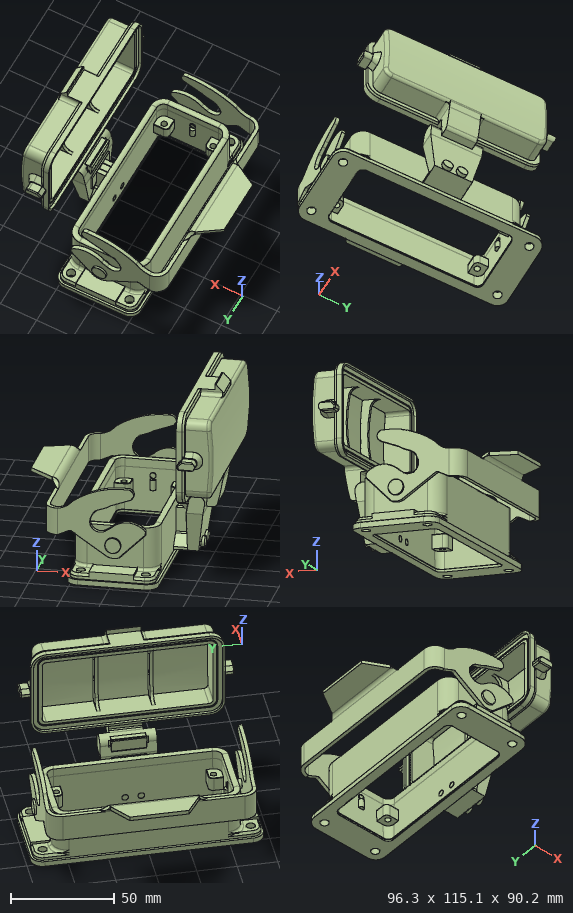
import cadquery as cq
import math


flange_x, flange_y, flange_z = 45.0, 115.1, 2.9
flange_radius = 6.0
tier_x, tier_y = 42.5, 112.8
tier_radius = 4.8
pad_top = 5.8
pad_edge_drop, pad_edge_inset = 1.4, 0.9
block_x, block_top = 22.0, 7.0
mount_x, mount_y, mount_diameter = 16.1, 51.4, 4.4

body_y, body_top = 93.0, 28.7
body_radius = 7.2
wall = 3.6
rim_wall, rim_bottom = 3.3, 23.7
crown_rise = 0.6
ledge_wall, ledge_top = 4.0, 1.4
foot_fillet = 1.6

screw_x, screw_y = 13.5, 38.8
screw_diameter, screw_mouth = 3.0, 3.5
boss_bottom, boss_top = 10.4, 17.6
boss_reach_x, boss_reach_y, boss_round = 3.5, 2.8, 2.4
key_diameter, key_bottom, key_top = 3.0, 12.7, 18.0
rivet_y, rivet_z = 4.0, 6.6
rivet_shank, rivet_mark_depth = 3.2, 0.2

sheet = 2.1
lever_half_y = 52.0
strap_x = -34.5
strap_bottom, strap_top = 23.2, 37.1
strap_radius = 7.0
arm_start = strap_x + strap_radius
tab_tip_x = -48.44
tab_bend_radius = 4.1
tab_slope = 5.4
tab_root_half, tab_mid_half, tab_tip_half = 27.0, 21.9, 14.6
tab_taper_x = -36.4

pivot_z = 20.0
pivot_diameter, pivot_head, pivot_head_y = 4.8, 7.8, 53.1
pivot_end_proud = 0.3
pivot_end_diameter = 3.0

link_x = 28.2
plate_bottom, bracket_bottom = 3.7, 5.2
bracket_half, root_half, tower_half = 10.4, 5.5, 4.3
root_bottom, root_top, tower_top = 10.4, 10.9, 23.3
tower_groove_half, tower_groove_depth = 1.8, 0.5
barrel_x, barrel_z, barrel_radius = 33.4, 30.0, 4.1
link_half, link_knee_z = 14.2, 24.5
knuckle_gap_half = 8.7
link_foot_x, link_knee_x = 33.7, 36.6
lip_x, lip_top, lip_bottom = 27.4, 33.7, 27.0
lip_seam_x, lip_seam = 28.5, 0.5
notch_back_x, notch_width, notch_bottom = 30.2, 1.2, 29.5
front_pad_bottom, front_pad_top = 14.0, 23.7
rivet_head, rivet_head_x = 5.5, 35.8

cover_x, cover_z = 30.3, 64.2
cover_flange_y, cover_flange_h, cover_flange_radius = 96.0, 46.8, 7.6
cover_flange_back, cover_edge_x = 34.4, 33.2
cover_edge_drop = 0.4
cover_inset = 3.1
cover_back_x = 47.82
cover_back_radius = 137.0
cover_back_round = 1.8
lip_width, lip_depth = 1.25, 1.5
seal_inset, seal_width, seal_depth = 3.5, 0.4, 0.5
cavity_inset, cavity_radius, cover_wall = 5.8, 2.0, 2.0
rib_y, rib_thickness, rib_height, rib_flare = 13.6, 1.7, 3.9, 4.8
tongue_half = 8.5
latch_x, latch_crest, latch_top = 41.3, 0.6, 90.19
latch_end_x, latch_end_z = 45.8, 86.2
pad_fillet = 2.0
tongue_front_x, tongue_bottom, tongue_top = 36.9, 26.7, 33.9

stud_y, stud_end_chamfer = 53.0, 0.6
stud_left, stud_right = 31.8, 40.5
stud_low, stud_mid, stud_high = 61.6, 64.2, 66.2
collar_radius, collar_x, collar_top, collar_taper = 4.5, 38.4, 48.2, 32.0


def box(x0, x1, y0, y1, z0, z1):
    """Axis-aligned block between two corners."""
    return cq.Workplane("XY").box(x1 - x0, y1 - y0, z1 - z0, centered=False).translate((x0, y0, z0))


def rounded_block(x, y, z0, z1, radius):
    """Centred block with rounded vertical corners."""
    return box(-x / 2, x / 2, -y / 2, y / 2, z0, z1).edges("|Z").fillet(radius)


def cover_block(inset, x0, x1, radius):
    """Rounded block of the cover outline, shrunk by inset, between two depths."""
    half_y = cover_flange_y / 2 - inset
    half_z = cover_flange_h / 2 - inset
    block = box(x0, x1, -half_y, half_y, cover_z - half_z, cover_z + half_z)
    return block.edges("|X").fillet(radius)


def extrude_y(outline, y0, y1):
    """Extrude an XZ outline between two Y positions."""
    return outline.extrude(y1 - y0).translate((0, y1, 0))


def rod_y(x, z, diameter, y0, y1):
    """Round rod along Y."""
    return extrude_y(cq.Workplane("XZ").center(x, z).circle(diameter / 2), y0, y1)


def mirrored(shape):
    """A shape together with its mirror image across the XZ plane."""
    return shape.union(shape.mirror("XZ"))


def make_base():
    """Flange, corner pads with edge chamfers and raised centre blocks."""
    base = rounded_block(flange_x, flange_y, 0, flange_z, flange_radius)
    pad = rounded_block(tier_x, tier_y, 0, pad_top, tier_radius)
    pad = pad.faces(">Z").chamfer(pad_edge_drop, pad_edge_inset)
    block = box(-block_x / 2, block_x / 2, -tier_y / 2, tier_y / 2, 0, block_top)
    base = base.union(pad).union(block)
    holes = cq.Workplane("XY").rect(2 * mount_x, 2 * mount_y, forConstruction=True).vertices()
    return base.cut(holes.circle(mount_diameter / 2).extrude(block_top))


def make_foot_fillet():
    """Concave fillet between the corner pads and the rounded wall corners."""
    centre_x = tier_x / 2 - body_radius
    centre_y = body_y / 2 - body_radius
    bow = foot_fillet * (1 - math.sqrt(0.5))

    def section(plane):
        return (
            cq.Workplane(plane)
            .moveTo(body_radius - wall / 2, pad_top)
            .lineTo(body_radius + foot_fillet, pad_top)
            .threePointArc((body_radius + bow, pad_top + bow), (body_radius, pad_top + foot_fillet))
            .lineTo(body_radius - wall / 2, pad_top + foot_fillet)
            .close()
        )

    ring = section("XZ").revolve(360, (0, 0, 0), (0, 1, 0))
    straight = section("YZ").extrude(centre_x - block_x / 2)
    foot = ring.translate((centre_x, centre_y, 0))
    foot = foot.union(straight.translate((block_x / 2, centre_y, 0)))
    foot = foot.intersect(box(0, tier_x / 2, 0, tier_y / 2, 0, body_top))
    return mirrored(foot.union(foot.mirror("YZ")))


def make_screw_boss():
    """Screw boss in the +X +Y inner corner, bedded into the wall."""
    boss = box(
        screw_x - boss_reach_x, tier_x / 2 - wall / 2,
        screw_y - boss_reach_y, body_y / 2 - wall / 2,
        boss_bottom, boss_top,
    )
    boss = boss.edges("|Z and <X and <Y").fillet(boss_round)
    inside_wall = rounded_block(
        tier_x - wall, body_y - wall, boss_bottom, boss_top, body_radius - wall / 2
    )
    boss = boss.intersect(inside_wall)
    hole = cq.Workplane("XY").center(screw_x, screw_y).circle(screw_diameter / 2).extrude(boss_top)
    mouth_chamfer = (screw_mouth - screw_diameter) / 2
    boss = boss.cut(hole)
    return boss.faces(">Z").edges("%CIRCLE").edges("<X or >X").chamfer(mouth_chamfer)


def make_crown():
    """Shallow rounded cap along the top of the rim."""
    centre_x = tier_x / 2 - body_radius
    centre_y = body_y / 2 - body_radius
    inner = body_radius - rim_wall

    def section(plane):
        return (
            cq.Workplane(plane)
            .moveTo(inner, body_top - crown_rise)
            .threePointArc((inner + rim_wall / 2, body_top), (body_radius, body_top - crown_rise))
            .close()
        )

    corner = section("XZ").revolve(90, (0, 0, 0), (0, 1, 0))
    long_side = section("XZ").extrude(centre_y, both=True).translate((centre_x, 0, 0))
    short_side = section("YZ").extrude(centre_x, both=True).translate((0, centre_y, 0))
    half = corner.translate((centre_x, centre_y, 0)).union(short_side)
    half = half.union(half.mirror("YZ"))
    return mirrored(half).union(long_side).union(long_side.mirror("YZ"))


def make_housing():
    """Housing wall with crowned rim, screw bosses and key pins on the base."""
    shoulder = body_top - crown_rise
    body = rounded_block(tier_x, body_y, 0, shoulder, body_radius)
    housing = make_base().union(body).union(make_foot_fillet())

    rim = rounded_block(
        tier_x - 2 * rim_wall, body_y - 2 * rim_wall, rim_bottom, shoulder, body_radius - rim_wall
    )
    draft = math.degrees(math.atan((wall - rim_wall) / (rim_bottom - ledge_top)))
    cavity = rim.faces("<Z").wires().toPending().workplane().extrude(
        rim_bottom - ledge_top, taper=draft, combine=False
    )
    opening = rounded_block(
        tier_x - 2 * ledge_wall, body_y - 2 * ledge_wall, 0, ledge_top, body_radius - ledge_wall
    )
    housing = housing.cut(rim).cut(cavity).cut(opening).union(make_crown())

    bosses = mirrored(make_screw_boss())
    housing = housing.union(bosses).union(bosses.mirror("YZ"))

    key_y = body_y / 2 - wall
    key_points = [(0, -key_y), (0, key_y)]
    keys = cq.Workplane("XY").workplane(offset=key_bottom).pushPoints(key_points)
    housing = housing.union(keys.circle(key_diameter / 2).extrude(key_top - key_bottom))
    return housing


def arm_outline():
    """Hooked side arm of the lever, in the XZ plane."""
    return (
        cq.Workplane("XZ")
        .moveTo(arm_start, strap_bottom)
        .lineTo(-22.3, 25.6)
        .threePointArc((-21.5, 25.9), (-20.6, 25.7))
        .lineTo(-2.9, 13.8)
        .threePointArc((0.2, 13.1), (3.3, 13.8))
        .lineTo(15.9, 26.1)
        .lineTo(16.0, 28.3)
        .threePointArc((7.7, 32.2), (-1.2, 28.7))
        .lineTo(-4.1, 26.9)
        .threePointArc((-10.2, 27.9), (-11.0, 33.7))
        .threePointArc((-9.6, 36.0), (-7.7, 37.6))
        .lineTo(-3.8, 39.0)
        .threePointArc((-2.5, 39.6), (-1.2, 40.4))
        .lineTo(8.0, 43.8)
        .threePointArc((10.1, 46.7), (6.9, 49.3))
        .threePointArc((-7.0, 47.7), (-20.0, 41.4))
        .threePointArc((-23.2, 38.6), (arm_start, strap_top))
        .close()
    )


def make_tab():
    """Thumb tab: bent out of the strap's top edge and tapering towards its tip."""
    slope = math.radians(tab_slope)
    inner_radius = tab_bend_radius - sheet
    bend_x = strap_x + sheet - tab_bend_radius
    bend_z = strap_top
    normal = (math.sin(slope), math.cos(slope))
    middle = math.radians(45 - tab_slope / 2)

    def on_bend(radius, direction):
        return (bend_x + radius * direction[0], bend_z + radius * direction[1])

    mid_direction = (math.cos(middle), math.sin(middle))
    top_end = on_bend(tab_bend_radius, normal)
    low_end = on_bend(inner_radius, normal)
    length = (top_end[0] - tab_tip_x) / math.cos(slope)
    along = (-length * math.cos(slope), length * math.sin(slope))
    profile = (
        cq.Workplane("XZ")
        .moveTo(strap_x + sheet, strap_top)
        .threePointArc(on_bend(tab_bend_radius, mid_direction), top_end)
        .lineTo(top_end[0] + along[0], top_end[1] + along[1])
        .lineTo(low_end[0] + along[0], low_end[1] + along[1])
        .lineTo(*low_end)
        .threePointArc(on_bend(inner_radius, mid_direction), (strap_x, strap_top))
        .close()
    )
    tab = extrude_y(profile, -tab_root_half, tab_root_half)

    bend_top = strap_top + tab_bend_radius
    above = bend_top + tab_bend_radius
    shoulder = (tab_mid_half + 1.0, strap_top + 0.7 * tab_bend_radius)
    flare = (
        cq.Workplane("YZ")
        .moveTo(-tab_root_half, strap_top)
        .threePointArc((-shoulder[0], shoulder[1] - 0.8), (-tab_mid_half, bend_top))
        .lineTo(-tab_mid_half, above)
        .lineTo(tab_mid_half, above)
        .lineTo(tab_mid_half, bend_top)
        .threePointArc((shoulder[0], shoulder[1] - 0.8), (tab_root_half, strap_top))
        .close()
        .extrude(-tab_tip_x, both=True)
    )
    plan = (
        cq.Workplane("XY")
        .polyline([
            (strap_x + sheet, -tab_root_half),
            (tab_taper_x, -tab_mid_half),
            (2 * tab_tip_x - tab_taper_x, 2 * (tab_mid_half - tab_tip_half) - tab_mid_half),
            (2 * tab_tip_x - tab_taper_x, tab_mid_half - 2 * (tab_mid_half - tab_tip_half)),
            (tab_taper_x, tab_mid_half),
            (strap_x + sheet, tab_root_half),
        ])
        .close()
        .extrude(above)
    )
    return tab.intersect(flare).intersect(plan)


def make_lever():
    """Bent-sheet lever: U-shaped strap, two hooked arms, thumb tab and pivot pins."""
    strap = box(strap_x, 0, -lever_half_y, lever_half_y, strap_bottom, strap_top)
    strap = strap.edges("|Z and <X").fillet(strap_radius)
    hollow_half = lever_half_y - sheet
    hollow = box(strap_x + sheet, 1, -hollow_half, hollow_half, 0, body_top + strap_top)
    hollow = hollow.edges("|Z and <X").fillet(strap_radius - sheet)
    strap = strap.cut(hollow)
    strap = strap.intersect(box(strap_x, arm_start, -lever_half_y, lever_half_y, 0, strap_top))

    arm = extrude_y(arm_outline(), hollow_half, lever_half_y)
    inner_face = body_y / 2 - wall
    pin = rod_y(0, pivot_z, pivot_diameter, inner_face + wall / 2, lever_half_y)
    head = rod_y(0, pivot_z, pivot_head, lever_half_y - sheet / 2, pivot_head_y)
    pin_end = rod_y(0, pivot_z, pivot_end_diameter, inner_face - pivot_end_proud, lever_half_y)
    side = arm.union(pin).union(head).union(pin_end)
    return strap.union(make_tab()).union(mirrored(side))


def make_bracket():
    """Bracket on the +X wall: foot plate and stepped tower that carry the link."""
    left = tier_x / 2 - wall / 2
    shape = (
        cq.Workplane("YZ")
        .polyline([
            (-bracket_half, plate_bottom),
            (bracket_half, plate_bottom),
            (bracket_half, bracket_bottom),
            (root_half, root_bottom),
            (tower_half, root_top),
            (tower_half, tower_top),
            (-tower_half, tower_top),
            (-tower_half, root_top),
            (-root_half, root_bottom),
            (-bracket_half, bracket_bottom),
        ])
        .close()
        .extrude(link_x + 1 - left)
        .translate((left, 0, 0))
    )
    groove = box(
        tier_x / 2, link_x, -tower_groove_half, tower_groove_half,
        tower_top - tower_groove_depth, tower_top,
    )
    return shape.cut(groove)


def make_link():
    """Link between bracket and cover: two round knuckles on a tapering foot."""
    profile = (
        cq.Workplane("XZ")
        .moveTo(link_x, plate_bottom)
        .lineTo(link_foot_x, plate_bottom)
        .lineTo(link_knee_x, link_knee_z)
        .lineTo(barrel_x + barrel_radius, barrel_z)
        .threePointArc((barrel_x, barrel_z + barrel_radius), (barrel_x - barrel_radius, barrel_z))
        .lineTo(link_x, link_knee_z)
        .close()
    )
    link = extrude_y(profile, -link_half, link_half)
    crown = barrel_z + barrel_radius + 1
    taper = (
        cq.Workplane("YZ")
        .polyline([
            (-bracket_half, plate_bottom),
            (bracket_half, plate_bottom),
            (link_half, link_knee_z),
            (link_half, crown),
            (-link_half, crown),
            (-link_half, link_knee_z),
        ])
        .close()
        .extrude(link_foot_x + link_knee_x)
    )
    link = link.intersect(taper)

    lip = (
        cq.Workplane("XZ")
        .moveTo(lip_x, lip_top)
        .lineTo(barrel_x, lip_top)
        .lineTo(barrel_x, lip_bottom)
        .lineTo(link_x, lip_bottom)
        .close()
    )
    link = link.union(extrude_y(lip, -knuckle_gap_half, knuckle_gap_half))
    front_pad = box(
        lip_x, link_x, -knuckle_gap_half, knuckle_gap_half, front_pad_bottom, front_pad_top
    )
    link = link.union(front_pad)
    seam = box(
        lip_seam_x, lip_seam_x + lip_seam, -knuckle_gap_half, knuckle_gap_half,
        lip_top - lip_seam, lip_top,
    )
    notch = box(
        lip_x, notch_back_x, knuckle_gap_half, knuckle_gap_half + notch_width, notch_bottom,
        barrel_z + barrel_radius,
    )
    link = link.cut(seam).cut(mirrored(notch))
    for y in (-rivet_y, rivet_y):
        head = cq.Workplane("YZ").center(y, rivet_z).circle(rivet_head / 2)
        start = link_foot_x - 1
        link = link.union(head.extrude(rivet_head_x - start).translate((start, 0, 0)))
    return link


def back_x(offset, z):
    """Depth of the cover's arched back, moved inwards by offset, at height z."""
    centre_x = cover_back_x - cover_back_radius
    return centre_x + math.sqrt((cover_back_radius - offset) ** 2 - (z - cover_z) ** 2)


def arched_block(inset, radius, offset):
    """Cover-shaped block from the mouth plane to the arched back."""
    block = cover_block(inset, cover_x, cover_back_x, radius)
    arch = rod_y(
        cover_back_x - cover_back_radius, cover_z, 2 * (cover_back_radius - offset),
        -cover_flange_y, cover_flange_y,
    )
    return block.intersect(arch)


def make_tongue():
    """Hinge tongue that drops from the cover to the link barrel."""
    root_z = cover_z - cover_flange_h / 2
    profile = (
        cq.Workplane("XZ")
        .moveTo(cover_edge_x, root_z + cover_inset + 1)
        .lineTo(cover_edge_x, root_z)
        .lineTo(tongue_front_x - 0.7, root_z)
        .threePointArc((tongue_front_x - 0.2, root_z - 0.2), (tongue_front_x, root_z - 0.7))
        .lineTo(tongue_front_x, tongue_top + 0.6)
        .lineTo(tongue_front_x - 0.6, tongue_top)
        .lineTo(barrel_x, tongue_top)
        .lineTo(barrel_x, tongue_bottom)
        .lineTo(41.0, tongue_bottom)
        .threePointArc((42.0, 27.2), (42.7, 28.5))
        .threePointArc((44.2, 35.0), (45.2, root_z))
        .lineTo(back_x(0, root_z + cover_inset), root_z + cover_inset + 1)
        .close()
    )
    return extrude_y(profile, -tongue_half, tongue_half)


def make_latch_pad():
    """Flat pad on top of the cover with a wedge-shaped latch along its back."""
    top = cover_z + cover_flange_h / 2
    low = top - cover_inset
    profile = (
        cq.Workplane("XZ")
        .polyline([
            (cover_edge_x, low - 1),
            (cover_edge_x, top),
            (latch_x, top),
            (latch_x, latch_top),
            (latch_x + latch_crest, latch_top),
            (latch_end_x, latch_end_z),
            (back_x(cover_back_round / 3, low), low - 1),
        ])
        .close()
    )
    return extrude_y(profile, -tongue_half, tongue_half)


def make_pad_fillets():
    """Concave fillets where the latch pad and the tongue leave the cover's body."""
    top = cover_z + cover_flange_h / 2 - cover_inset
    bow = pad_fillet * (1 - math.sqrt(0.5))
    section = (
        cq.Workplane("YZ")
        .moveTo(tongue_half - 1, top - 1)
        .lineTo(tongue_half + pad_fillet, top - 1)
        .lineTo(tongue_half + pad_fillet, top)
        .threePointArc((tongue_half + bow, top + bow), (tongue_half, top + pad_fillet))
        .lineTo(tongue_half - 1, top + pad_fillet)
        .close()
    )
    start = cover_flange_back - 1
    fillet = section.extrude(latch_end_x - cover_back_round / 3 - start).translate((start, 0, 0))
    fillets = mirrored(fillet)
    return fillets.union(fillets.mirror("XY", (0, 0, cover_z)))


def make_stud():
    """Locking stud on the +Y end of the cover, standing on a tapered collar."""
    body_face = cover_flange_y / 2 - cover_inset
    stud = (
        cq.Workplane("XZ")
        .moveTo(stud_left + 0.7, stud_low)
        .lineTo(stud_left, stud_low + 0.9)
        .lineTo(stud_left, stud_mid)
        .lineTo(33.8, stud_high)
        .lineTo(38.7, stud_high)
        .threePointArc((stud_right, (stud_low + stud_high) / 2), (38.7, stud_low))
        .close()
    )
    stud = extrude_y(stud, body_face - 1, stud_y)
    stud = stud.faces(">Y").edges("%LINE").chamfer(stud_end_chamfer)
    collar = (
        cq.Workplane("XZ")
        .moveTo(cover_x + 1, stud_mid - collar_radius)
        .lineTo(collar_x, stud_mid - collar_radius)
        .threePointArc((collar_x + collar_radius, stud_mid), (collar_x, stud_mid + collar_radius))
        .lineTo(cover_x + 1, stud_mid + collar_radius)
        .close()
        .extrude(-(collar_top - body_face), taper=collar_taper)
        .translate((0, body_face, 0))
    )
    return stud.union(collar)


def make_rib(y):
    """Low rib across the cavity floor, flaring out at both ends."""
    half_h = cover_flange_h / 2 - cavity_inset
    crest_x = back_x(cover_wall + rib_height, cover_z + half_h)
    low, high = cover_z - half_h, cover_z + half_h
    bow = rib_flare * (1 - math.sqrt(0.5))
    profile = (
        cq.Workplane("XZ")
        .moveTo(back_x(cover_wall / 2, low), low)
        .lineTo(crest_x - rib_flare, low)
        .threePointArc((crest_x - bow, low + bow), (crest_x, low + rib_flare))
        .threePointArc((back_x(cover_wall + rib_height, cover_z), cover_z), (crest_x, high - rib_flare))
        .threePointArc((crest_x - bow, high - bow), (crest_x - rib_flare, high))
        .lineTo(back_x(cover_wall / 2, high), high)
        .close()
    )
    return extrude_y(profile, y - rib_thickness / 2, y + rib_thickness / 2)


def make_cover():
    """Hinged cover standing open: flanged shell with ribs, seal seat, latch and studs."""
    flange = cover_block(0, cover_x, cover_flange_back, cover_flange_radius)
    flange = flange.faces(">X").chamfer(cover_flange_back - cover_edge_x, cover_edge_drop)
    body = arched_block(cover_inset, cover_flange_radius - cover_inset, 0)
    body = body.faces(">X").edges().fillet(cover_back_round)
    cover = flange.union(body).union(make_tongue()).union(make_latch_pad()).union(make_pad_fillets())
    cover = cover.union(mirrored(make_stud()))

    seat_x = cover_x + lip_depth
    seat = cover_block(lip_width, cover_x, seat_x, cover_flange_radius - lip_width)
    seal_radius = cover_flange_radius - seal_inset
    seal = cover_block(seal_inset, seat_x, seat_x + seal_depth, seal_radius)
    seal = seal.cut(
        cover_block(seal_inset + seal_width, seat_x, seat_x + seal_depth, seal_radius - seal_width)
    )
    cover = cover.cut(seat).cut(seal).cut(arched_block(cavity_inset, cavity_radius, cover_wall))
    for y in (-rib_y, rib_y):
        cover = cover.union(make_rib(y))
    return cover


def make_rivet_marks():
    """Shallow round marks of the bracket rivets on the inner +X wall."""
    marks = cq.Workplane("YZ").pushPoints([(-rivet_y, rivet_z), (rivet_y, rivet_z)])
    marks = marks.circle(rivet_shank / 2).extrude(rivet_mark_depth)
    return marks.translate((tier_x / 2 - wall, 0, 0))


housing = make_housing().union(make_bracket()).cut(make_rivet_marks())
result = housing.union(make_lever()).union(make_link()).union(make_cover())